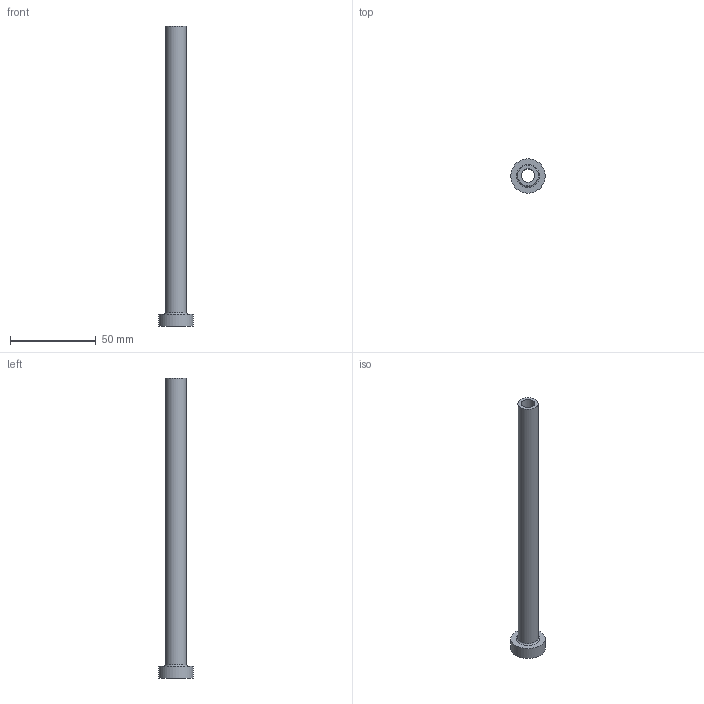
import cadquery as cq

total_length = 175.0
head_diameter = 20.0
head_height = 7.0
shaft_diameter = 12.0
bore_diameter = 8.0
neck_fillet_radius = 0.8

head_bottom_z = 0.0


def sleeve_profile():
    """Half section of the sleeve in the XZ plane, from bore to outer surface."""
    bore_radius = bore_diameter / 2
    shaft_radius = shaft_diameter / 2
    head_radius = head_diameter / 2
    head_top_z = head_bottom_z + head_height
    shaft_top_z = head_bottom_z + total_length
    fillet_outer_radius = shaft_radius + neck_fillet_radius
    fillet_top_z = head_top_z + neck_fillet_radius
    return (
        cq.Workplane("XZ")
        .moveTo(bore_radius, head_bottom_z)
        .lineTo(head_radius, head_bottom_z)
        .lineTo(head_radius, head_top_z)
        .lineTo(fillet_outer_radius, head_top_z)
        .radiusArc((shaft_radius, fillet_top_z), neck_fillet_radius)
        .lineTo(shaft_radius, shaft_top_z)
        .lineTo(bore_radius, shaft_top_z)
        .close()
    )


result = sleeve_profile().revolve(360, (0, 0, 0), (0, 1, 0))